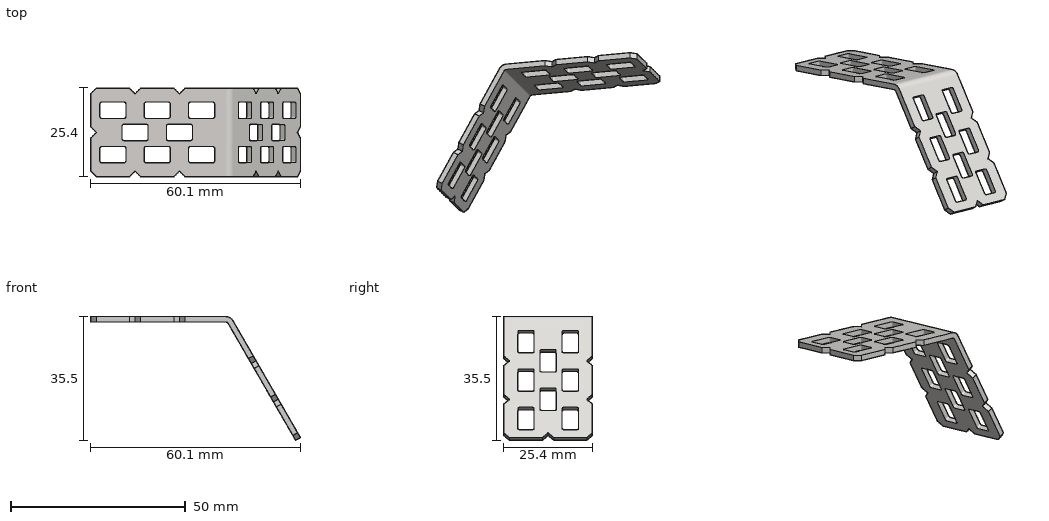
import cadquery as cq
import math

overall_length = 60.1
width = 25.4
thickness = 1.6
bend_angle = 60.0
inner_bend_radius = 0.85

pitch = width / 2
slots_per_outer_row = 3
slot_length = 7.4
slot_width = 4.6
slot_corner_radius = 0.5
notch_depth = 1.6

outer_bend_radius = inner_bend_radius + thickness
bend_radians = math.radians(bend_angle)
leg_length = (overall_length - outer_bend_radius * math.sin(bend_radians)) / (1 + math.cos(bend_radians))

outer_row_slots = [
    ((i + 0.5) * pitch, side * pitch / 2)
    for i in range(slots_per_outer_row)
    for side in (-1, 1)
]
middle_row_slots = [(i * pitch, 0) for i in range(1, slots_per_outer_row)]
slot_centers = outer_row_slots + middle_row_slots

edge_notches = [
    (i * pitch, side * width / 2)
    for i in range(slots_per_outer_row)
    for side in (-1, 1)
]
notch_centers = edge_notches + [(0, 0)]


def make_leg():
    """Flat leg with its free end at X = 0, its top at Z = 0 and the bend at its +X end."""
    below_plate = cq.Workplane("XY").workplane(offset=-thickness)
    plate = below_plate.rect(leg_length, width).extrude(thickness).translate((leg_length / 2, 0, 0))
    slots = (
        below_plate.pushPoints(slot_centers)
        .rect(slot_length, slot_width)
        .extrude(thickness)
        .edges("|Z")
        .fillet(slot_corner_radius)
    )
    notches = below_plate.pushPoints(notch_centers).polygon(4, 2 * notch_depth).extrude(thickness)
    return plate.cut(slots).cut(notches)


def make_bend():
    """Curved strip that carries the end of the horizontal leg down to the sloping leg."""
    axis_offset = thickness / 2 - outer_bend_radius
    return (
        cq.Workplane("YZ", origin=(leg_length, 0, 0))
        .center(0, -thickness / 2)
        .rect(width, thickness)
        .revolve(bend_angle, (-width / 2, axis_offset), (width / 2, axis_offset))
    )


horizontal_leg = make_leg()

bend_axis_start = (leg_length, 0, -outer_bend_radius)
bend_axis_end = (leg_length, 1, -outer_bend_radius)
sloping_leg = (
    horizontal_leg.mirror("YZ", (leg_length, 0, 0))
    .rotate(bend_axis_start, bend_axis_end, bend_angle)
)

result = horizontal_leg.union(make_bend()).union(sloping_leg)